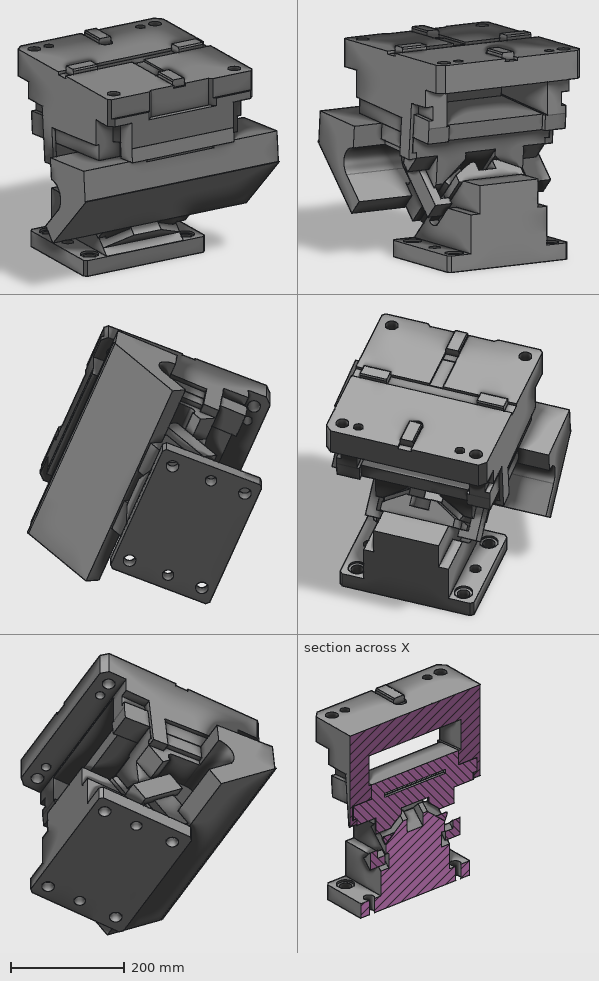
import cadquery as cq
import math


WORK_TILT = math.radians(5)
RAIL_TILT = math.radians(45)


def at_x(distance):
    return 1.0, 0.0, distance


def at_z(distance):
    return 0.0, 1.0, distance


def tilt_along(distance):
    """Plane across the tilted slide top, measured along it."""
    return math.cos(WORK_TILT), math.sin(WORK_TILT), distance


def tilt_up(distance):
    """Plane parallel to the tilted slide top, measured square to it."""
    return -math.sin(WORK_TILT), math.cos(WORK_TILT), distance


def rail_along(distance):
    """Plane across the rail, measured down its slope."""
    return math.cos(RAIL_TILT), -math.sin(RAIL_TILT), distance


def rail_up(distance):
    """Plane parallel to the rail slope, measured square to it."""
    return math.sin(RAIL_TILT), math.cos(RAIL_TILT), distance


def corner(plane_a, plane_b):
    """The (x, z) point where two planes cross."""
    ax, az, a = plane_a
    bx, bz, b = plane_b
    determinant = ax * bz - az * bx
    return (a * bz - az * b) / determinant, (ax * b - a * bx) / determinant


def prism(planes, half_width):
    """Prism centred on Y = 0 whose outline has a corner at each pair of neighbouring planes."""
    points = [corner(plane, planes[i - 1]) for i, plane in enumerate(planes)]
    return cq.Workplane("XZ").polyline(points).close().extrude(half_width, both=True)


def side_prisms(planes, inner, outer):
    """The same outline on both sides, between two distances from Y = 0."""
    return prism(planes, outer).cut(prism(planes, inner))


def block(x_range, y_range, z_range):
    """Box between the given limits."""
    (x0, x1), (y0, y1), (z0, z1) = x_range, y_range, z_range
    return cq.Workplane("XY").box(x1 - x0, y1 - y0, z1 - z0, centered=False).translate((x0, y0, z0))


def rail_section(points, start, end):
    """Half cross-section (distance from Y = 0, height off the slope), mirrored and run down the slope."""
    down = cq.Vector(math.cos(RAIL_TILT), 0, -math.sin(RAIL_TILT))
    plane = cq.Plane(origin=down * start, xDir=(0, 1, 0), normal=down)
    mirrored = [(-y, v) for y, v in reversed(points)]
    return cq.Workplane(plane).polyline(points + mirrored).close().extrude(end - start)


CLEAR = 480.0
OVERCUT = 4.0
CAVITY_CEILING = 319.5

RAIL_START, RAIL_END = -59.0, 101.0
RAIL_TOP_HALF = 28.0
RAIL_TOP = 189.5
ROOF_TILT = math.radians(30)
RAIL_NECK_HALF = 68.0
RAIL_WIDEN = 0.0
BLOCK_HALF = 79.0
RAIL_UNDERSIDE = 151.0
PAD_START, PAD_END = -29.0, 87.0
PAD_HALF = 69.0
PAD_THICKNESS = 11.0


def roof_height(y):
    return RAIL_TOP - (y - RAIL_TOP_HALF) * math.tan(ROOF_TILT)


GROOVE_HALF = 31.0
PAD_INNER_EDGE = (PAD_HALF, roof_height(PAD_HALF))
PAD_INNER_TOP = (GROOVE_HALF, roof_height(GROOVE_HALF))
PAD_OUTER_EDGE = (
    PAD_HALF + PAD_THICKNESS * math.sin(ROOF_TILT),
    roof_height(PAD_HALF) + PAD_THICKNESS * math.cos(ROOF_TILT),
)
PAD_OUTER_TOP = (GROOVE_HALF, roof_height(GROOVE_HALF) + PAD_THICKNESS / math.cos(ROOF_TILT))


BASE_LEFT, BASE_RIGHT = 9.0, 198.5
BASE_HALF = 125.0
BASE_PLATE = 29.5
BASE_CHAMFER = 5.5
TOWER_HALF = 61.0
TOWER_TOP = 150.5
LEDGE = 99.5
HOOK_SLOT_DEPTH = 20.5
HOOK_SLOT_END = 56.0
RAIL_KEY_WIDTH = 35.0
RAIL_KEY_FLOOR = 171.0
RAIL_KEY_STRAIGHT = 34.0
BOLT_HOLE, BOLT_SEAT, BOLT_SEAT_DEPTH = 22.0, 32.5, 4.0
DOWEL_HOLE = 20.0
BASE_HOLE_Y = 99.0
BASE_BOLT_X = (32.5, 171.0)
BASE_DOWEL_X = 97.0


def rail():
    def roof(half):
        return [(half, RAIL_UNDERSIDE), (half, roof_height(half)), (RAIL_TOP_HALF, RAIL_TOP)]

    neck = rail_section(roof(RAIL_NECK_HALF), RAIL_START, RAIL_WIDEN)
    return neck.union(rail_section(roof(BLOCK_HALF), RAIL_WIDEN, RAIL_END))


def rail_key_slot():
    """Round-ended slot running in from the top end of the rail."""
    up = cq.Vector(math.sin(RAIL_TILT), 0, math.cos(RAIL_TILT))
    down = cq.Vector(math.cos(RAIL_TILT), 0, -math.sin(RAIL_TILT))
    plane = cq.Plane(origin=up * RAIL_KEY_FLOOR + down * RAIL_START, xDir=down, normal=up)
    depth = RAIL_TOP - RAIL_KEY_FLOOR + OVERCUT
    return cq.Workplane(plane).slot2D(2 * RAIL_KEY_STRAIGHT + RAIL_KEY_WIDTH, RAIL_KEY_WIDTH).extrude(depth)


def hook_slots():
    """Rebates beside the tower that go on under the rail and end in a quarter round."""
    slot_floor = RAIL_UNDERSIDE - HOOK_SLOT_DEPTH
    arc_start = HOOK_SLOT_END - HOOK_SLOT_DEPTH
    arc_mid = HOOK_SLOT_DEPTH / math.sqrt(2)
    outline = (
        cq.Workplane("XZ")
        .moveTo(*corner(at_x(BASE_LEFT - OVERCUT), at_z(LEDGE)))
        .lineTo(*corner(rail_up(slot_floor), at_z(LEDGE)))
        .lineTo(*corner(rail_up(slot_floor), rail_along(arc_start)))
        .threePointArc(
            corner(rail_up(RAIL_UNDERSIDE - arc_mid), rail_along(arc_start + arc_mid)),
            corner(rail_up(RAIL_UNDERSIDE), rail_along(HOOK_SLOT_END)),
        )
        .lineTo(*corner(rail_up(RAIL_UNDERSIDE), at_x(BASE_LEFT - OVERCUT)))
        .close()
    )
    return outline.extrude(BASE_HALF, both=True).cut(
        block((0, CLEAR), (-TOWER_HALF, TOWER_HALF), (0, CLEAR))
    )


def base():
    plate = block((BASE_LEFT, BASE_RIGHT), (-BASE_HALF, BASE_HALF), (0, BASE_PLATE))
    plate = plate.edges("|Z").chamfer(BASE_CHAMFER)
    tower = prism(
        [at_x(BASE_LEFT), at_z(TOWER_TOP), rail_up(RAIL_UNDERSIDE), at_z(BASE_PLATE)], BLOCK_HALF
    )
    foot = prism(
        [
            at_x(BASE_LEFT),
            rail_up(RAIL_UNDERSIDE - HOOK_SLOT_DEPTH),
            rail_along(HOOK_SLOT_END),
            rail_up(roof_height(BLOCK_HALF)),
            at_z(BASE_PLATE),
        ],
        BLOCK_HALF,
    ).intersect(block((BASE_LEFT, BASE_RIGHT), (-BLOCK_HALF, BLOCK_HALF), (0, LEDGE)))
    body = plate.union(tower).union(foot).cut(hook_slots()).union(rail()).cut(rail_key_slot())
    bolts = [(x, y) for x in BASE_BOLT_X for y in (-BASE_HOLE_Y, BASE_HOLE_Y)]
    dowels = [(BASE_DOWEL_X, y) for y in (-BASE_HOLE_Y, BASE_HOLE_Y)]
    face = cq.Workplane("XY", origin=(0, 0, BASE_PLATE))
    body = body.cut(face.pushPoints(bolts).circle(BOLT_HOLE / 2).extrude(-BASE_PLATE))
    body = body.cut(face.pushPoints(bolts).circle(BOLT_SEAT / 2).extrude(-BOLT_SEAT_DEPTH))
    return body.cut(face.pushPoints(dowels).circle(DOWEL_HOLE / 2).extrude(-BASE_PLATE))


SLIDE_TOP = 221.5
SLIDE_FRONT, SLIDE_BACK = 119.0, 337.5
FLANGE_HALF, FLANGE_UNDERSIDE = 142.5, 193.0
BODY_HALF = 134.0
BODY_UNDERSIDE = 208.5
BODY_BACK = 92.0
BACK_LIP = 165.5
WING_HALF, WING_FRONT = 200.0, 223.5
FOOT_HALF, FOOT_UNDERSIDE = 90.0, 174.5
FOOT_TOP = 229.5
WEB_HALF = 80.0
POCKET_FRONT, POCKET_BACK = -22.5, 57.0
POCKET_CEILING = 181.5
POCKET_RADII = (9.5, 30.0, 7.0)
STRAP_START, STRAP_END = -13.0, 23.0
STRAP_BOTTOM, STRAP_TOP = 137.5, 244.5
STRAP_INNER, STRAP_OUTER = 86.0, 103.5
HOOK_INNER, HOOK_TOP = 69.0, 151.0
BAR_HALF, BAR_FRONT, BAR_BACK, BAR_TOP = 100.5, 77.5, 298.5, 250.0
TOP_GROOVE_HALF, TOP_GROOVE_FLOOR = 69.5, 215.0
STOP_HALF, STOP_FRONT, STOP_BACK = 98.5, 213.0, 228.0
STOP_CHAMFER = 23.0


def side_pockets():
    """Rounded triangular pockets in both flanks, as deep as the web between them."""
    sides = [rail_up(FOOT_TOP), tilt_up(POCKET_CEILING), rail_along(POCKET_BACK)]
    pocket = prism(sides, CLEAR)
    for index, radius in enumerate(POCKET_RADII):
        x, z = corner(sides[index], sides[(index + 1) % len(sides)])
        pocket = pocket.edges(cq.selectors.NearestToPointSelector((x, 0, z))).fillet(radius)
    return pocket.cut(block((0, CLEAR), (-WEB_HALF, WEB_HALF), (0, CLEAR)))


def slide_foot():
    """Block at the bottom of the slide that reaches down beside the rail roof."""
    return prism(
        [tilt_along(SLIDE_FRONT), rail_up(FOOT_TOP), rail_along(PAD_END), rail_up(FOOT_UNDERSIDE)],
        FOOT_HALF,
    )


def roof_hollow():
    """Space in the slide over the rail: the V roof raised by the pad, with a centre groove above it."""
    outline = [(PAD_OUTER_EDGE[0], 0), PAD_OUTER_EDGE, PAD_OUTER_TOP, (GROOVE_HALF, BODY_UNDERSIDE)]
    return rail_section(outline, -CLEAR, CLEAR)


def v_pad():
    """Lining between the slide and the two slopes of the rail roof, open along the centre groove."""
    lining = rail_section([PAD_INNER_TOP, PAD_INNER_EDGE, PAD_OUTER_EDGE, PAD_OUTER_TOP], PAD_START, PAD_END)
    groove = rail_section([(GROOVE_HALF, 0), (GROOVE_HALF, BODY_UNDERSIDE)], PAD_START, PAD_END)
    return lining.cut(groove)


def slide_body():
    flange = prism(
        [tilt_along(SLIDE_FRONT), tilt_up(SLIDE_TOP), tilt_along(WING_FRONT), tilt_up(FLANGE_UNDERSIDE)],
        FLANGE_HALF,
    )
    back = [
        tilt_up(SLIDE_TOP),
        tilt_along(SLIDE_BACK),
        tilt_up(BACK_LIP),
        rail_along(BODY_BACK),
        rail_up(BODY_UNDERSIDE),
    ]
    core = prism([tilt_along(SLIDE_FRONT)] + back, BODY_HALF)
    wings = prism([tilt_along(WING_FRONT)] + back + [rail_along(POCKET_BACK)], WING_HALF)
    wing_gap = side_prisms(
        [
            rail_along(POCKET_FRONT),
            rail_up(FOOT_TOP),
            rail_along(STRAP_START),
            rail_up(STRAP_TOP),
            rail_along(POCKET_BACK),
            rail_up(RAIL_UNDERSIDE),
        ],
        FOOT_HALF,
        CLEAR,
    )
    top_groove = prism(
        [tilt_along(0), tilt_up(SLIDE_TOP), tilt_along(CLEAR), tilt_up(TOP_GROOVE_FLOOR)], TOP_GROOVE_HALF
    )
    return flange.union(core).union(wings).cut(wing_gap).cut(top_groove)


def straps():
    upright = [rail_along(STRAP_START), rail_up(STRAP_TOP), rail_along(STRAP_END), rail_up(STRAP_BOTTOM)]
    hook = [rail_along(STRAP_START), rail_up(HOOK_TOP), rail_along(STRAP_END), rail_up(STRAP_BOTTOM)]
    both = side_prisms(upright, STRAP_INNER, STRAP_OUTER)
    return both.union(side_prisms(hook, HOOK_INNER, STRAP_OUTER))


def slide_bar():
    """Centre bar on the slide top, with the stop block above."""
    bar = prism([tilt_along(BAR_FRONT), tilt_up(BAR_TOP), tilt_along(BAR_BACK), tilt_up(SLIDE_TOP)], BAR_HALF)
    stop = prism(
        [tilt_along(STOP_FRONT), at_z(CAVITY_CEILING), tilt_along(STOP_BACK), tilt_up(SLIDE_TOP)], STOP_HALF
    )
    x, z = corner(at_z(CAVITY_CEILING), tilt_along((STOP_FRONT + STOP_BACK) / 2))
    for y in (-STOP_HALF, STOP_HALF):
        stop = stop.edges(cq.selectors.NearestToPointSelector((x, y, z))).chamfer(STOP_CHAMFER)
    return bar.union(stop)


def slide():
    body = slide_body().union(slide_foot()).cut(roof_hollow()).union(v_pad())
    return body.cut(side_pockets()).union(straps()).union(slide_bar())


PLATE_HALF = 150.0
PLATE_BOTTOM, PLATE_TOP = 325.0, 375.0
PLATE_BACK = 325.0
PLATE_CHAMFER, PLATE_BACK_CHAMFER = 12.0, 10.0
BACK_STEP, BACK_STEP_FLOOR = 320.5, 339.0
BACK_NOTCH, BACK_NOTCH_HALF = 315.0, 60.0
KEY_TOP = 384.0
KEY_WIDTH, KEY_LENGTH = 25.0, 49.5
KEY_BEVEL, KEY_BEVEL_HEIGHT = 1.5, 3.0
SLOT_DEPTH, SHALLOW_SLOT_DEPTH = 5.0, 3.5
CROSS_SLOT_X = 161.0
CROSS_KEY_Y = 109.0
FRONT_KEY_X, BACK_KEY_X = 36.5, 285.5
FRONT_SLOT_END = 74.5
SHALLOW_SLOT_END = 245.0
HOLDER_BOLT_FRONT_X, HOLDER_BOLT_BACK_X, HOLDER_BOLT_Y = 25.5, 295.0, 125.0
HOLDER_BOLT = 22.5
HOLDER_DOWEL, HOLDER_DOWEL_Y = 17.0, 95.0
LEG_FRONT, LEG_BACK = 47.0, 276.0
LEG_FRONT_TILTED = 69.0
LEG_INNER = 105.0
LEG_RAIL_TOP = 251.0
LEG_RAIL_HALF = 143.0
CLAW_BACK = 149.0
CLAW_BOTTOM, CLAW_REACH = 181.5, 134.5
FRONT_RECESS_TOP = 293.5
FRONT_RAIL_TOP = 263.5
BACK_BLOCK_FRONT, BACK_BLOCK_FRONT_TILTED = 285.5, 309.0
BACK_BLOCK_TILTED = 347.5
LINK_BOTTOM = 277.0


def plate():
    body = block((0, PLATE_BACK), (-PLATE_HALF, PLATE_HALF), (PLATE_BOTTOM, PLATE_TOP))
    body = body.edges("|Z and <X").chamfer(PLATE_CHAMFER)
    body = body.edges("|Z and >X").chamfer(PLATE_BACK_CHAMFER)
    step = block((BACK_STEP, CLEAR), (-CLEAR, CLEAR), (BACK_STEP_FLOOR, CLEAR))
    flared_half = BACK_NOTCH_HALF + PLATE_BACK - BACK_NOTCH
    notch = (
        cq.Workplane("XY", origin=(0, 0, PLATE_BOTTOM))
        .polyline(
            [
                (BACK_NOTCH, -BACK_NOTCH_HALF),
                (BACK_NOTCH, BACK_NOTCH_HALF),
                (PLATE_BACK, flared_half),
                (PLATE_BACK, -flared_half),
            ]
        )
        .close()
        .extrude(PLATE_TOP - PLATE_BOTTOM)
    )
    return body.cut(step).cut(notch)


def key(x, y, angle):
    """Bar key seated in a slot, long edges bevelled at the top."""
    half = KEY_WIDTH / 2
    shoulder = KEY_TOP - KEY_BEVEL_HEIGHT
    section = [
        (-half, PLATE_TOP - SLOT_DEPTH),
        (-half, shoulder),
        (KEY_BEVEL - half, KEY_TOP),
        (half - KEY_BEVEL, KEY_TOP),
        (half, shoulder),
        (half, PLATE_TOP - SLOT_DEPTH),
    ]
    bar = cq.Workplane("XZ").polyline(section).close().extrude(KEY_LENGTH / 2, both=True)
    return bar.rotate((0, 0, 0), (0, 0, 1), angle).translate((x, y, 0))


def plate_slots():
    half = KEY_WIDTH / 2
    deep = (PLATE_TOP - SLOT_DEPTH, PLATE_TOP + OVERCUT)
    shallow = (PLATE_TOP - SHALLOW_SLOT_DEPTH, PLATE_TOP + OVERCUT)
    cross = block((CROSS_SLOT_X - half, CROSS_SLOT_X + half), (-PLATE_HALF, PLATE_HALF), deep)
    front = block((0, FRONT_SLOT_END - half), (-half, half), deep)
    end_centre = (FRONT_SLOT_END - half, 0, deep[0])
    front_end = cq.Workplane("XY", origin=end_centre).circle(half).extrude(SLOT_DEPTH + OVERCUT)
    middle = block((CROSS_SLOT_X, SHALLOW_SLOT_END), (-half, half), shallow)
    back = block((SHALLOW_SLOT_END, PLATE_BACK), (-half, half), deep)
    return cross.union(front).union(front_end).union(middle).union(back)


def holder_holes():
    """Cutters for the bolt and dowel holes through the plate."""
    face = cq.Workplane("XY", origin=(0, 0, PLATE_BOTTOM))
    bolts = [
        (x, y)
        for x in (HOLDER_BOLT_FRONT_X, HOLDER_BOLT_BACK_X)
        for y in (-HOLDER_BOLT_Y, HOLDER_BOLT_Y)
    ]
    dowels = [(HOLDER_BOLT_FRONT_X, y) for y in (-HOLDER_DOWEL_Y, HOLDER_DOWEL_Y)]
    depth = PLATE_TOP - PLATE_BOTTOM
    bolt_holes = face.pushPoints(bolts).circle(HOLDER_BOLT / 2).extrude(depth)
    return bolt_holes.union(face.pushPoints(dowels).circle(HOLDER_DOWEL / 2).extrude(depth))


def legs():
    """Two side legs under the plate, upright above and tilted below, with the rails cut out of them."""
    upright = prism([at_x(LEG_FRONT), at_z(PLATE_BOTTOM), at_x(LEG_BACK), tilt_up(SLIDE_TOP)], PLATE_HALF)
    tilted = prism(
        [
            tilt_along(LEG_FRONT_TILTED),
            at_z(CLEAR),
            at_x(LEG_BACK),
            tilt_up(SLIDE_TOP),
        ],
        PLATE_HALF,
    )
    both = upright.intersect(tilted).cut(
        block((0, CLEAR), (-LEG_INNER, LEG_INNER), (0, CAVITY_CEILING))
    )
    front_recess = side_prisms(
        [at_x(0), at_z(FRONT_RECESS_TOP), tilt_along(SLIDE_FRONT), tilt_up(FRONT_RAIL_TOP)],
        CLAW_REACH,
        CLEAR,
    )
    front_rail = side_prisms(
        [at_x(0), tilt_up(FRONT_RAIL_TOP), tilt_along(SLIDE_FRONT), tilt_up(0)], LEG_RAIL_HALF, CLEAR
    )
    back_rail = side_prisms(
        [tilt_along(CLAW_BACK), tilt_up(LEG_RAIL_TOP), tilt_along(CLEAR), tilt_up(0)], LEG_RAIL_HALF, CLEAR
    )
    inner_rail = side_prisms(
        [
            tilt_along(LEG_FRONT_TILTED),
            tilt_up(BAR_TOP),
            at_x(LEG_BACK),
            tilt_up(SLIDE_TOP),
        ],
        BAR_HALF,
        LEG_INNER,
    )
    return both.cut(front_recess).cut(front_rail).cut(back_rail).union(inner_rail.intersect(tilted))


def claws():
    """Hooks that reach down past the slide flange and under it."""
    drop = [tilt_along(SLIDE_FRONT), tilt_up(FRONT_RAIL_TOP), tilt_along(CLAW_BACK), tilt_up(CLAW_BOTTOM)]
    lip = [tilt_along(SLIDE_FRONT), tilt_up(FLANGE_UNDERSIDE), tilt_along(CLAW_BACK), tilt_up(CLAW_BOTTOM)]
    return side_prisms(drop, LEG_RAIL_HALF, PLATE_HALF).union(side_prisms(lip, CLAW_REACH, PLATE_HALF))


def back_block():
    """Block behind the slide, tied to the legs by a link with chamfered ends."""
    upright = prism(
        [at_x(BACK_BLOCK_FRONT), at_z(PLATE_BOTTOM), at_x(PLATE_BACK), at_z(LINK_BOTTOM)], LEG_INNER
    )
    tilted = prism(
        [
            tilt_along(BACK_BLOCK_FRONT_TILTED),
            at_z(LINK_BOTTOM),
            tilt_along(BACK_BLOCK_TILTED),
            tilt_up(SLIDE_TOP),
        ],
        LEG_INNER,
    )
    spread = LEG_INNER + BACK_BLOCK_FRONT - LEG_BACK
    link = (
        cq.Workplane("XY", origin=(0, 0, LINK_BOTTOM))
        .polyline(
            [
                (LEG_BACK, -spread),
                (BACK_BLOCK_FRONT, -LEG_INNER),
                (BACK_BLOCK_FRONT, LEG_INNER),
                (LEG_BACK, spread),
            ]
        )
        .close()
        .extrude(PLATE_BOTTOM - LINK_BOTTOM)
    )
    return upright.union(tilted).union(link)


def holder():
    """Plate with its keys, legs, claws and back block in one piece."""
    body = plate().cut(plate_slots()).cut(holder_holes()).union(legs()).union(claws()).union(back_block())
    for side in (-1, 1):
        body = body.union(key(CROSS_SLOT_X, side * CROSS_KEY_Y, 0))
    for x in (FRONT_KEY_X, BACK_KEY_X):
        body = body.union(key(x, 0, 90))
    return body


cam_base = base()
cam_slide = slide()
cam_holder = holder()

result = cq.Compound.makeCompound([body.solids().val() for body in (cam_base, cam_slide, cam_holder)])